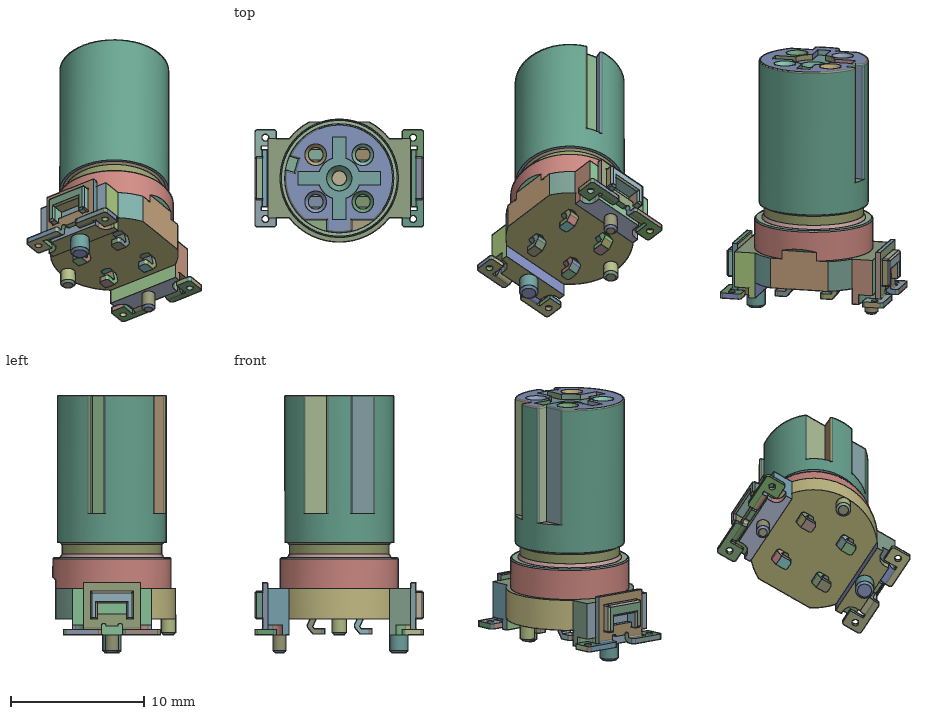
import cadquery as cq
import math

total_height = 19.35
seat_z = 1.35
flange_bottom_z = 2.53
flange_top_z = 4.84
collar_top_z = 7.15
neck_top_z = 8.3

body_radius = 8.2 / 2
neck_radius = 7.5 / 2
neck_cone = 0.15
neck_lower_cone_height = 0.27
neck_upper_cone_height = 0.17
collar_radius = 8.9 / 2
collar_chamfer = 0.1
flange_radius = 4.8
back_flat_y = 4.24
back_flat_top_z = 5.5

groove_bottom_z = 10.47
key_half_width = 0.95
front_groove_depth = 0.95
side_groove_angle = 163.5
side_groove_width = 1.06
side_groove_depth = 0.74
edge_radius = 0.14
rim_radius = 0.1

cross_length = 6.2
cross_width = 0.99
cross_hub_radius = 1.59
cross_depth = 0.4
centre_cone_radius = 1.9 / 2
centre_floor_radius = 1.1 / 2
centre_cone_depth = 0.48
contact_pitch = 3.55
socket_radius = 1.1 / 2
socket_mouth_radius = 0.81
socket_mouth_depth = 0.39
socket_depth = 3.87

block_face_x = 5.36
block_inner_x = 3.77
block_half_width = 2.98
notch_inner_x = 4.28
notch_inner_y = 2.03
notch_top_z = 2.1
notch_corner_radius = 0.7
latch_half_width = 1.63
latch_bottom_z = 2.53
latch_top_z = 4.65
latch_gap_half_width = 1.08
latch_gap_top_z = 3.73
latch_chamfer = 0.14
latch_side_chamfer = 0.1

post_x = 4.49
small_post_radius = 0.99 / 2
large_post_radius = 1.4 / 2
post_chamfer = 0.17
front_pin_radius = 1.1 / 2
front_pin_y = front_pin_radius - flange_radius

clip_outer_x = 12.7 / 2
sheet = 0.4
plate_half_width = 2.15
plate_top_z = 5.28
plate_top_chamfer = 0.08
bend_radius = 0.1
foot_half_length = 3.65
foot_inner_x = 4.72
foot_corner_radius = 0.21
foot_hole_radius = 0.5 / 2
foot_hole_x = 5.55
foot_hole_y = 3.05
slot_inner_y = 2.1
slot_outer_y = 2.42
slot_outer_x = 5.86
tongue_top_z = 2.92
opening_half_width = 0.8
opening_top_z = 2.03
relief_radius = 0.17

contact_half_width = 0.4
lead_bottom_z = 1.41
lead_root_outer_x = -0.43
lead_root_inner_x = 0.04
lead_bend_start = (-0.62, 2.15)
lead_bend_mid = (-0.64, 2.01)
lead_bend_end = (-0.58, 1.85)
lead_heel_outer_x = -0.21
lead_heel_inner_x = -0.12
lead_bend_inner = (-0.21, 1.97)
lead_toe_x = 0.7


def box(x_range, y_range, z_range):
    """Axis-aligned box given by its limits."""
    size = [limits[1] - limits[0] for limits in (x_range, y_range, z_range)]
    corner = (x_range[0], y_range[0], z_range[0])
    return cq.Workplane("XY").box(*size, centered=False).translate(corner)


def cylinder(radius, bottom_z, top_z, x=0.0, y=0.0):
    return cq.Workplane("XY", origin=(x, y, bottom_z)).circle(radius).extrude(top_z - bottom_z)


def countersink(mouth_radius, floor_radius, top_z, depth):
    """Conical recess on the Z axis, widest at top_z."""
    return (
        cq.Workplane("XY", origin=(0, 0, top_z - depth)).circle(floor_radius)
        .workplane(offset=depth).circle(mouth_radius).loft()
    )


def contact_positions():
    half = contact_pitch / 2
    return [(x, y) for x in (-half, half) for y in (-half, half)]


def make_plug_body():
    """Upper cylinder with two front grooves beside a key and one angled side groove."""
    body = cylinder(body_radius, neck_top_z, total_height)
    groove_z = (groove_bottom_z, total_height)
    floor_y = front_groove_depth - body_radius
    for x_range in ((-body_radius, -key_half_width), (key_half_width, body_radius)):
        body = body.cut(box(x_range, (-body_radius, floor_y), groove_z))
    side_groove = box(
        (body_radius - side_groove_depth, body_radius + edge_radius),
        (-side_groove_width / 2, side_groove_width / 2),
        groove_z,
    ).rotate((0, 0, 0), (0, 0, 1), side_groove_angle)
    body = body.cut(side_groove)

    rim_tolerance = 0.02

    def is_outer_groove_edge(edge):
        centre = edge.Center()
        on_rim = math.hypot(centre.x, centre.y) > body_radius - rim_tolerance
        is_seam = centre.x > body_radius - rim_tolerance
        return on_rim and not is_seam

    body = body.edges("|Z").filter(is_outer_groove_edge).fillet(edge_radius)
    return body.faces(">Z").edges().fillet(rim_radius)


def make_neck():
    """Waist between collar and plug body, with a cone at each end."""
    cone_radius = neck_radius + neck_cone
    return (
        cq.Workplane("XZ")
        .moveTo(0, collar_top_z)
        .lineTo(cone_radius, collar_top_z)
        .lineTo(neck_radius, collar_top_z + neck_lower_cone_height)
        .lineTo(neck_radius, neck_top_z - neck_upper_cone_height)
        .lineTo(cone_radius, neck_top_z)
        .lineTo(0, neck_top_z)
        .close()
        .revolve(360, (0, 0, 0), (0, 1, 0))
    )


def make_base():
    """Collar and flange, flattened at the back below a 45 degree step."""
    collar = cylinder(collar_radius, flange_top_z, collar_top_z).faces(">Z").chamfer(collar_chamfer)
    base = collar.union(cylinder(flange_radius, flange_bottom_z, flange_top_z))
    reach = flange_radius - back_flat_y
    back_cut = (
        cq.Workplane("YZ")
        .moveTo(back_flat_y, flange_bottom_z)
        .lineTo(back_flat_y, back_flat_top_z)
        .lineTo(back_flat_y + reach, back_flat_top_z + reach)
        .lineTo(back_flat_y + reach, flange_bottom_z)
        .close()
        .extrude(flange_radius, both=True)
    )
    return base.cut(back_cut)


def make_latch():
    """U-shaped catch on the -X block face, open at the bottom."""
    x_range = (-clip_outer_x, -block_face_x)
    latch = box(x_range, (-latch_half_width, latch_half_width), (latch_bottom_z, latch_top_z))
    latch = latch.edges("|X").chamfer(latch_side_chamfer)
    gap = box(
        x_range,
        (-latch_gap_half_width, latch_gap_half_width),
        (latch_bottom_z, latch_gap_top_z),
    )
    return latch.cut(gap)


def make_side_block():
    """Block on the -X side with clearance notches for the solder feet and its latch."""
    block_y = (-block_half_width, block_half_width)
    block = box((-block_face_x, -block_inner_x), block_y, (seat_z, flange_top_z))
    block = block.union(box((-block_inner_x, 0), block_y, (flange_bottom_z, flange_top_z)))
    for y_range in ((-block_half_width, -notch_inner_y), (notch_inner_y, block_half_width)):
        notch = box((-block_face_x, -notch_inner_x), y_range, (seat_z, notch_top_z))
        inner_side = ">Y" if y_range[0] < 0 else "<Y"
        notch = notch.edges("|Z").edges(">X").edges(inner_side).fillet(notch_corner_radius)
        block = block.cut(notch)
    return block.union(make_latch().faces("<X").chamfer(latch_chamfer))


def make_pin(radius, bottom_z, top_z, x, y):
    return cylinder(radius, bottom_z, top_z, x, y).faces("<Z").chamfer(post_chamfer)


def cut_top_recesses(housing):
    cross_floor_z = total_height - cross_depth
    recess_z = (cross_floor_z, total_height)
    half_length = cross_length / 2
    half_width = cross_width / 2
    housing = housing.cut(box((-half_length, half_length), (-half_width, half_width), recess_z))
    housing = housing.cut(box((-half_width, half_width), (-half_length, half_length), recess_z))
    housing = housing.cut(cylinder(cross_hub_radius, *recess_z))
    housing = housing.cut(
        countersink(centre_cone_radius, centre_floor_radius, cross_floor_z, centre_cone_depth)
    )
    socket = cylinder(socket_radius, total_height - socket_depth, total_height).union(
        countersink(socket_mouth_radius, socket_radius, total_height, socket_mouth_depth)
    )
    for x, y in contact_positions():
        housing = housing.cut(socket.translate((x, y, 0)))
        housing = housing.cut(make_contact_shank().translate((x, y, 0)))
    return housing


def make_housing():
    block = make_side_block()
    housing = make_base().union(block).union(block.mirror("YZ"))
    housing = housing.union(make_neck()).union(make_plug_body())
    housing = housing.union(make_pin(small_post_radius, 0, seat_z, -post_x, 0))
    housing = housing.union(make_pin(large_post_radius, 0, seat_z, post_x, 0))
    housing = housing.union(make_pin(front_pin_radius, seat_z, flange_bottom_z, 0, front_pin_y))
    return cut_top_recesses(housing)


def make_plate():
    """Upright sheet bent outwards into a foot along its lower edge, on the -X side."""
    outer_bend = bend_radius + sheet
    plate_outer_x = block_face_x + sheet
    foot_top_z = seat_z + sheet
    return (
        cq.Workplane("XZ")
        .moveTo(-clip_outer_x, seat_z)
        .lineTo(-block_face_x - outer_bend, seat_z)
        .radiusArc((-block_face_x, seat_z + outer_bend), -outer_bend)
        .lineTo(-block_face_x, plate_top_z - plate_top_chamfer)
        .lineTo(-block_face_x - plate_top_chamfer, plate_top_z)
        .lineTo(-plate_outer_x, plate_top_z)
        .lineTo(-plate_outer_x, foot_top_z + bend_radius)
        .radiusArc((-plate_outer_x - bend_radius, foot_top_z), bend_radius)
        .lineTo(-clip_outer_x, foot_top_z)
        .close()
        .extrude(plate_half_width, both=True)
    )


def make_foot():
    """Flat pad beside the plate on the -X, -Y side, with the strip that joins it to the plate."""
    foot_z = (seat_z, seat_z + sheet)
    pad = box((-clip_outer_x, -foot_inner_x), (-foot_half_length, -slot_outer_y), foot_z)
    pad = pad.edges("|Z").edges("<Y").fillet(foot_corner_radius)
    strip = box((-clip_outer_x, -slot_outer_x), (-slot_outer_y, -slot_inner_y), foot_z)
    hole = cylinder(foot_hole_radius, *foot_z, -foot_hole_x, -foot_hole_y)
    return pad.union(strip).cut(hole)


def cut_plate_openings(clip):
    """Window around the latch with its tongue, and the relieved opening under it."""
    plate_x = (-clip_outer_x, -block_face_x)
    window = box(plate_x, (-latch_half_width, latch_half_width), (latch_bottom_z, latch_top_z))
    tongue = box(
        plate_x,
        (-latch_gap_half_width, latch_gap_half_width),
        (latch_bottom_z, tongue_top_z),
    )
    opening = box(plate_x, (-opening_half_width, opening_half_width), (seat_z, opening_top_z))
    relief_y = opening_half_width - relief_radius
    reliefs = (
        cq.Workplane("YZ", origin=(-clip_outer_x, 0, opening_top_z))
        .pushPoints([(-relief_y, 0), (relief_y, 0)])
        .circle(relief_radius)
        .extrude(clip_outer_x - block_face_x)
    )
    return clip.cut(window.cut(tongue)).cut(opening).cut(reliefs)


def make_clip():
    """Solder clip on the -X side."""
    foot = make_foot()
    clip = make_plate().union(foot).union(foot.mirror("XZ"))
    clip = cut_plate_openings(clip)
    strip_ends = cq.selectors.BoxSelector(
        (-clip_outer_x - sheet, -opening_half_width - sheet / 2, seat_z),
        (-clip_outer_x + sheet / 2, opening_half_width + sheet / 2, seat_z + sheet),
    )
    return clip.edges("|Z").edges(strip_ends).fillet(foot_corner_radius)


def make_contact_shank():
    """Straight part inside the housing: a round bar with two flats, reaching the socket floor."""
    shank_top_z = total_height - socket_depth
    shank = cylinder(socket_radius, flange_bottom_z, shank_top_z)
    flats = box(
        (-socket_radius, socket_radius),
        (-contact_half_width, contact_half_width),
        (flange_bottom_z, shank_top_z),
    )
    return shank.intersect(flats)


def make_contact():
    """Shank with a lead that leans towards -X and bends back into a foot towards +X."""
    lead_top_z = lead_bottom_z + sheet
    lead = (
        cq.Workplane("XZ")
        .moveTo(lead_root_outer_x, flange_bottom_z)
        .lineTo(*lead_bend_start)
        .threePointArc(lead_bend_mid, lead_bend_end)
        .lineTo(lead_heel_outer_x, lead_bottom_z)
        .lineTo(lead_toe_x, lead_bottom_z)
        .lineTo(lead_toe_x, lead_top_z)
        .lineTo(lead_heel_inner_x, lead_top_z)
        .lineTo(*lead_bend_inner)
        .lineTo(lead_root_inner_x, flange_bottom_z)
        .close()
        .extrude(contact_half_width, both=True)
    )
    lead = lead.edges("|Z").edges(">X").fillet(foot_corner_radius)
    return make_contact_shank().union(lead)


housing = make_housing()
left_clip = make_clip()
right_clip = left_clip.mirror("YZ")
contacts = [make_contact().translate((x, y, 0)) for x, y in contact_positions()]

result = cq.Compound.makeCompound(
    [
        housing.solids().val(),
        left_clip.solids().val(),
        right_clip.solids().val(),
        *[contact.solids().val() for contact in contacts],
    ]
)